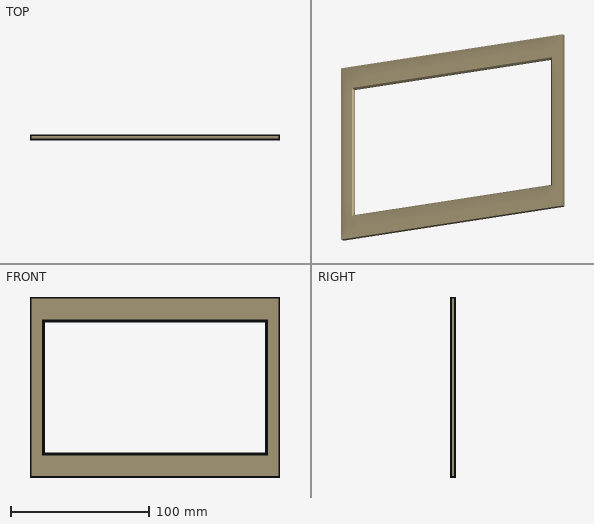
import cadquery as cq

width = 180.0
height = 130.0
thickness = 3.2

face_window_width = 162.5
face_window_height = 97.5
throat_thickness = 0.7
bevel = (thickness - throat_thickness) / 2
throat_width = face_window_width - 2 * bevel
throat_height = face_window_height - 2 * bevel

frame = cq.Workplane("XY").box(width, thickness, height)
throat = cq.Workplane("XY").box(throat_width, thickness, throat_height)


def tapered_opening(face_y, depth):
    """Opening that narrows from the face at face_y; positive depth runs toward +Y."""
    return (
        cq.Workplane("XZ", origin=(0, face_y, 0))
        .rect(face_window_width, face_window_height)
        .workplane(offset=-depth)
        .rect(throat_width, throat_height)
        .loft(ruled=True)
    )


front_opening = tapered_opening(-thickness / 2, bevel)
back_opening = tapered_opening(thickness / 2, -bevel)

result = frame.cut(throat).cut(front_opening).cut(back_opening)